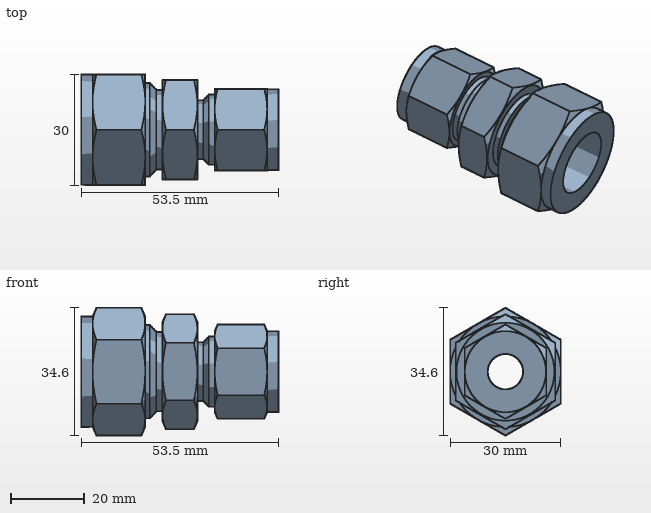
import cadquery as cq
import math

total_length = 53.5
collar_length = 3.1
nut_length = 14.25
body_hex_start = 21.95
body_hex_length = 9.65

large_nut_end = collar_length + nut_length
body_hex_end = body_hex_start + body_hex_length
small_nut_end = total_length - collar_length
small_nut_start = small_nut_end - nut_length

large_nut_flats = 30.0
body_hex_flats = 27.0
small_nut_flats = 22.15

corner_chamfer_angle = 24.0
large_collar_diameter = large_nut_flats
body_hex_face_diameter = 26.55
small_collar_diameter = 22.0

large_rim_diameter = 25.4
large_neck_diameter = 21.6
large_taper_start = 18.55
large_taper_end = 20.4
small_rim_diameter = 19.1
small_neck_diameter = 16.05
small_taper_start = 33.1
small_taper_end = 34.6

through_bore_diameter = 9.5
tube_socket_diameter = 18.0
tube_socket_depth = body_hex_start


def cylinder_along_x(start, end, diameter):
    return cq.Workplane("YZ", origin=(start, 0, 0)).circle(diameter / 2).extrude(end - start)


def chamfered_hexagon(start, end, across_flats, face_diameter):
    """Hexagonal prism with corners up and down, its ends coned down to face_diameter."""
    across_corners = across_flats / math.cos(math.pi / 6)
    corner_radius = across_corners / 2
    face_radius = face_diameter / 2
    cone_length = (corner_radius - face_radius) * math.tan(math.radians(corner_chamfer_angle))
    prism = (
        cq.Workplane("YZ", origin=(start, 0, 0))
        .transformed(rotate=(0, 0, 90))
        .polygon(6, across_corners)
        .extrude(end - start)
    )
    envelope = (
        cq.Workplane("XZ")
        .moveTo(start, 0)
        .lineTo(start, face_radius)
        .lineTo(start + cone_length, corner_radius)
        .lineTo(end - cone_length, corner_radius)
        .lineTo(end, face_radius)
        .lineTo(end, 0)
        .close()
        .revolve(360, (0, 0, 0), (1, 0, 0))
    )
    return prism.intersect(envelope)


def body_core():
    """Turned body joining the three hexagons, revolved about X."""
    large_rim_radius = large_rim_diameter / 2
    large_neck_radius = large_neck_diameter / 2
    small_rim_radius = small_rim_diameter / 2
    small_neck_radius = small_neck_diameter / 2
    return (
        cq.Workplane("XZ")
        .moveTo(collar_length, 0)
        .lineTo(collar_length, large_rim_radius)
        .lineTo(large_taper_start, large_rim_radius)
        .lineTo(large_taper_end, large_neck_radius)
        .lineTo(body_hex_start, large_neck_radius)
        .lineTo(body_hex_end, small_neck_radius)
        .lineTo(small_taper_start, small_neck_radius)
        .lineTo(small_taper_end, small_rim_radius)
        .lineTo(small_nut_end, small_rim_radius)
        .lineTo(small_nut_end, 0)
        .close()
        .revolve(360, (0, 0, 0), (1, 0, 0))
    )


large_nut = chamfered_hexagon(collar_length, large_nut_end, large_nut_flats, large_collar_diameter)
large_collar = cylinder_along_x(0, collar_length, large_collar_diameter)
small_nut = chamfered_hexagon(small_nut_start, small_nut_end, small_nut_flats, small_collar_diameter)
small_collar = cylinder_along_x(small_nut_end, total_length, small_collar_diameter)

body_hex = chamfered_hexagon(body_hex_start, body_hex_end, body_hex_flats, body_hex_face_diameter)

through_bore = cylinder_along_x(0, total_length, through_bore_diameter)
tube_socket = cylinder_along_x(0, tube_socket_depth, tube_socket_diameter)

result = (
    body_core()
    .union(large_nut)
    .union(large_collar)
    .union(body_hex)
    .union(small_nut)
    .union(small_collar)
    .cut(through_bore)
    .cut(tube_socket)
)